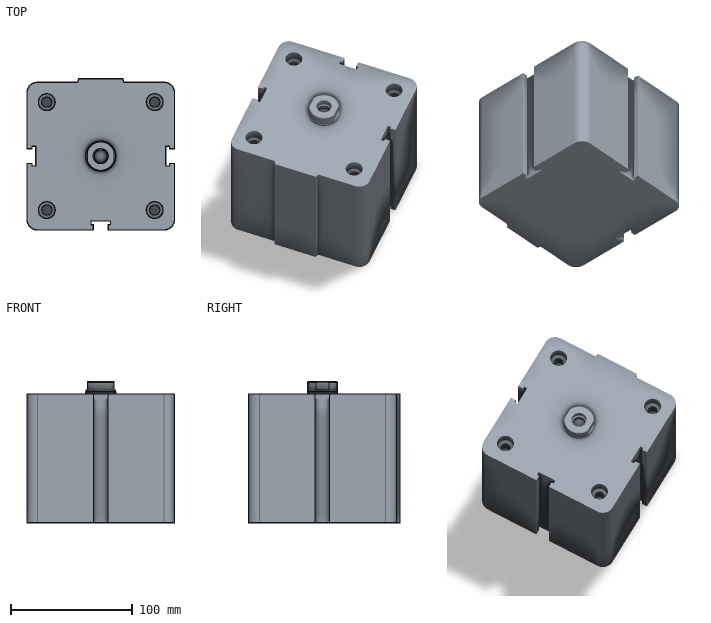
import cadquery as cq

SIDE = 122.0
HOUSING_HEIGHT = 106.5
CORNER_RADIUS = 9.0

RAIL_HEIGHT = 3.0
RAIL_BASE_WIDTH = 38.0
RAIL_TOP_WIDTH = 36.5

SLOT_MOUTH_WIDTH = 12.0
SLOT_HEAD_WIDTH = 16.0
SLOT_LIP = 4.5
SLOT_DEPTH = 7.4
SLOT_FACE_ANGLES = (-90, 0, 90)

HOLE_SPACING = 89.0
HOLE_DIAMETER = 8.38
COUNTERBORE_DIAMETER = 14.0
COUNTERBORE_DEPTH = 8.4
HOLE_DEPTH = 19.3

ROD_HEIGHT = 10.0
COLLAR_DIAMETER = 25.0
COLLAR_HEIGHT = 1.5
ROD_DIAMETER = 24.5
ROD_CHAMFER = 0.5
FLATS_WIDTH = 22.0
FLATS_HEIGHT = 6.8
BORE_MOUTH_DIAMETER = 12.5
BORE_MOUTH_DEPTH = 5.0
BORE_DIAMETER = 10.4


def make_rail():
    """Rail with sloping sides, rooted in the block behind the +Y face."""
    face_y = SIDE / 2
    crest_y = face_y + RAIL_HEIGHT
    return (
        cq.Workplane("XY")
        .moveTo(-RAIL_BASE_WIDTH / 2, 0)
        .lineTo(-RAIL_BASE_WIDTH / 2, face_y)
        .lineTo(-RAIL_TOP_WIDTH / 2, crest_y)
        .lineTo(RAIL_TOP_WIDTH / 2, crest_y)
        .lineTo(RAIL_BASE_WIDTH / 2, face_y)
        .lineTo(RAIL_BASE_WIDTH / 2, 0)
        .close()
        .extrude(HOUSING_HEIGHT)
    )


def make_slot():
    """T-slot cutter for the -Y face."""
    face_y = -SIDE / 2
    head_depth = SLOT_DEPTH - SLOT_LIP
    mouth = cq.Workplane("XY").center(0, face_y + SLOT_DEPTH / 2).rect(SLOT_MOUTH_WIDTH, SLOT_DEPTH)
    head = cq.Workplane("XY").center(0, face_y + SLOT_LIP + head_depth / 2).rect(SLOT_HEAD_WIDTH, head_depth)
    return mouth.extrude(HOUSING_HEIGHT).union(head.extrude(HOUSING_HEIGHT))


def make_housing():
    block = cq.Workplane("XY").rect(SIDE, SIDE).extrude(HOUSING_HEIGHT).edges("|Z").fillet(CORNER_RADIUS)
    block = block.union(make_rail())
    for angle in SLOT_FACE_ANGLES:
        block = block.cut(make_slot().rotate((0, 0, 0), (0, 0, 1), angle))
    return (
        block.faces(">Z")
        .workplane(origin=(0, 0, HOUSING_HEIGHT))
        .rect(HOLE_SPACING, HOLE_SPACING, forConstruction=True)
        .vertices()
        .cboreHole(HOLE_DIAMETER, COUNTERBORE_DIAMETER, COUNTERBORE_DEPTH, HOLE_DEPTH)
    )


def make_rod_blank():
    """Turned rod end: collar with a bevelled shoulder, then a shank with a chamfered top edge."""
    collar_radius = COLLAR_DIAMETER / 2
    rod_radius = ROD_DIAMETER / 2
    bevel = collar_radius - rod_radius
    return (
        cq.Workplane("XZ")
        .moveTo(0, 0)
        .lineTo(collar_radius, 0)
        .lineTo(collar_radius, COLLAR_HEIGHT)
        .lineTo(rod_radius, COLLAR_HEIGHT + bevel)
        .lineTo(rod_radius, ROD_HEIGHT - ROD_CHAMFER)
        .lineTo(rod_radius - ROD_CHAMFER, ROD_HEIGHT)
        .lineTo(0, ROD_HEIGHT)
        .close()
        .revolve(360, (0, 0, 0), (0, 1, 0))
    )


def make_flats():
    """Cutter that leaves two wrench flats facing -X and +X."""
    clearance = 2 * COLLAR_DIAMETER
    return (
        cq.Workplane("XY", origin=(0, 0, ROD_HEIGHT - FLATS_HEIGHT))
        .rect(clearance, clearance)
        .extrude(FLATS_HEIGHT)
        .cut(cq.Workplane("XY").rect(FLATS_WIDTH, clearance).extrude(ROD_HEIGHT))
    )


def make_rod():
    return (
        make_rod_blank()
        .cut(make_flats())
        .faces(">Z")
        .workplane(origin=(0, 0, ROD_HEIGHT))
        .cboreHole(BORE_DIAMETER, BORE_MOUTH_DIAMETER, BORE_MOUTH_DEPTH)
        .translate((0, 0, HOUSING_HEIGHT))
    )


housing = make_housing()
rod = make_rod()
result = cq.Compound.makeCompound([housing.val(), rod.val()])